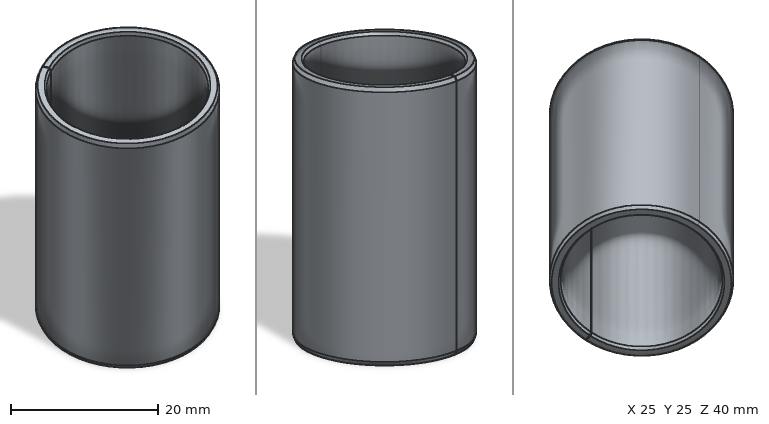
import cadquery as cq

length = 40.0
outer_diameter = 25.0
bore_diameter = 22.0
outer_chamfer_height = 0.65
outer_chamfer_depth = 0.3
bore_chamfer_height = 0.5
bore_chamfer_depth = 0.3
slit_width = 0.15

outer_radius = outer_diameter / 2
bore_radius = bore_diameter / 2
half_length = length / 2


def bushing_wall():
    """Revolve the wall section, with chamfers on both rims at each end."""
    face_outer_radius = outer_radius - outer_chamfer_depth
    face_bore_radius = bore_radius + bore_chamfer_depth
    outer_edge = half_length - outer_chamfer_height
    bore_edge = half_length - bore_chamfer_height
    section = [
        (bore_radius, -bore_edge),
        (face_bore_radius, -half_length),
        (face_outer_radius, -half_length),
        (outer_radius, -outer_edge),
        (outer_radius, outer_edge),
        (face_outer_radius, half_length),
        (face_bore_radius, half_length),
        (bore_radius, bore_edge),
    ]
    return cq.Workplane("XZ").polyline(section).close().revolve(360, (0, 0), (0, 1))


def slit():
    """Full-length butt-joint gap through the wall on the -X side."""
    return cq.Workplane("XY").box(
        outer_diameter, slit_width, length, centered=(True, False, True)
    ).translate((-outer_radius, 0, 0))


result = bushing_wall().cut(slit())